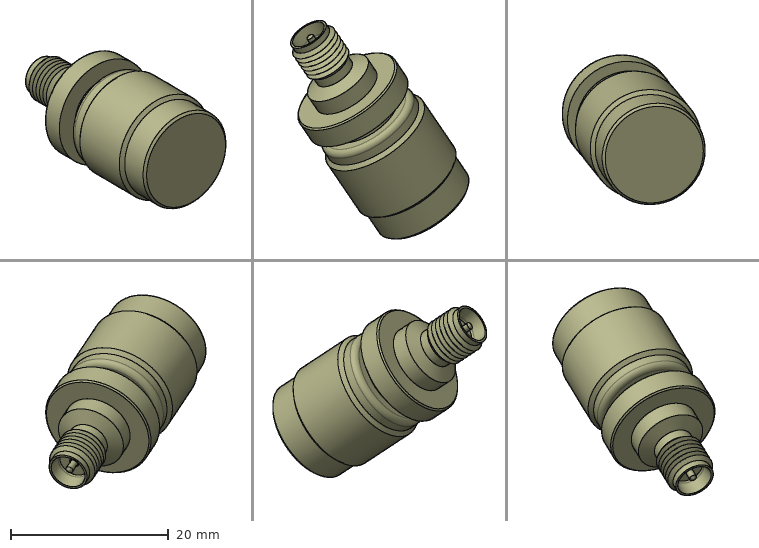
import cadquery as cq
import math


length = 29.35
outer_radius = 7.25

tube_radius = 2.6
crest_radius = 3.1
first_crest_x = 1.35
crest_count = 6
pitch = 0.7
thread_depth = pitch / 2 * math.tan(math.radians(60))
root_radius = crest_radius - thread_depth
thread_lead = crest_radius - tube_radius

hub_radius = 4.45
hub_cone_start_x = 6.63
hub_cone_length = 0.82
flange_start_x = 9.65
flange_end_x = 12.68
flange_chamfer = 0.2

neck_radius = 4.73
nut_start_x = 14.35
collar_radius = 6.72
collar_rounding = 0.8
grip_step = outer_radius - collar_radius
grip_start_x = 16.85
grip_end_x = 24.85
grip_end_bevel = 0.45
end_chamfer = 0.32

mouth_radius = 2.32
socket_depth = 1.75
socket_end_radius = 2.08
seat_depth = 2.05
seat_radius = 2.0
pin_radius = 0.47
pin_tip_x = 0.12
pin_cone_length = 0.32
pin_collar_base_radius = 0.65
pin_collar_top_radius = 0.55
pin_collar_height = 0.12


def thread_points():
    """Crests joined by V roots, between the run-in and the run-out on the tube."""
    last_crest_x = first_crest_x + (crest_count - 1) * pitch
    points = [(first_crest_x - thread_lead, tube_radius)]
    for i in range(crest_count):
        crest_x = first_crest_x + i * pitch
        points.append((crest_x, crest_radius))
        if i < crest_count - 1:
            points.append((crest_x + pitch / 2, root_radius))
    points.append((last_crest_x + thread_lead, tube_radius))
    return points


def revolve_about_x(profile):
    return profile.close().revolve(360, (0, 0, 0), (1, 0, 0))


def make_body():
    """Solid outer shape: jack, hub, flange, neck and coupling nut."""
    profile = cq.Workplane("XY").moveTo(0, 0).lineTo(0, tube_radius)
    for x, radius in thread_points():
        profile = profile.lineTo(x, radius)
    profile = (
        profile
        .lineTo(hub_cone_start_x, tube_radius)
        .lineTo(hub_cone_start_x + hub_cone_length, hub_radius)
        .lineTo(flange_start_x, hub_radius)
        .lineTo(flange_start_x, outer_radius - flange_chamfer)
        .lineTo(flange_start_x + flange_chamfer, outer_radius)
        .lineTo(flange_end_x, outer_radius)
        .lineTo(flange_end_x, neck_radius)
        .lineTo(nut_start_x, neck_radius)
        .lineTo(nut_start_x, collar_radius - collar_rounding)
        .radiusArc((nut_start_x + collar_rounding, collar_radius), collar_rounding)
        .lineTo(grip_start_x - grip_step, collar_radius)
        .lineTo(grip_start_x, outer_radius)
        .lineTo(grip_end_x, outer_radius)
        .lineTo(grip_end_x + grip_end_bevel, collar_radius)
        .lineTo(length - end_chamfer, collar_radius)
        .lineTo(length, collar_radius - end_chamfer)
        .lineTo(length, 0)
    )
    return revolve_about_x(profile)


def make_socket():
    """Tapered cavity of the jack, with a steeper tapered seat next to its flat floor."""
    profile = (
        cq.Workplane("XY")
        .moveTo(0, 0)
        .lineTo(0, mouth_radius)
        .lineTo(socket_depth, socket_end_radius)
        .lineTo(seat_depth, seat_radius)
        .lineTo(seat_depth, 0)
    )
    return revolve_about_x(profile)


def make_pin():
    """Centre contact: conical tip, straight shank and a low tapered collar on the socket floor."""
    collar_top_x = seat_depth - pin_collar_height
    profile = (
        cq.Workplane("XY")
        .moveTo(pin_tip_x, 0)
        .lineTo(pin_tip_x + pin_cone_length, pin_radius)
        .lineTo(collar_top_x, pin_radius)
        .lineTo(collar_top_x, pin_collar_top_radius)
        .lineTo(seat_depth, pin_collar_base_radius)
        .lineTo(seat_depth, 0)
    )
    return revolve_about_x(profile)


result = make_body().cut(make_socket()).union(make_pin())